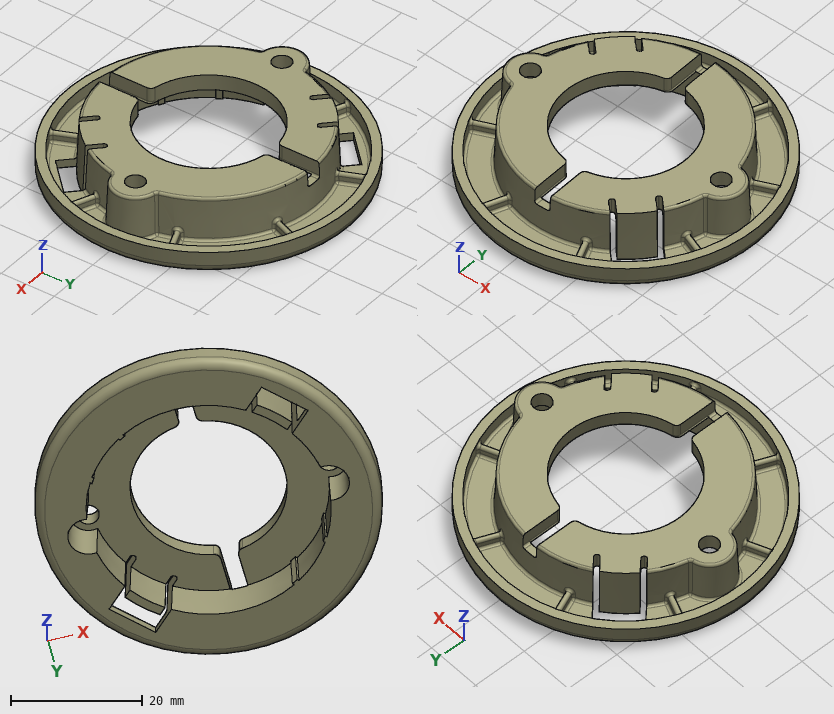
import cadquery as cq
import math

flange_radius = 26.5
total_height = 9.2
flange_height = 4.0
floor_thickness = 1.5
bottom_round = 1.5
draft = math.tan(math.radians(2.5))
channel_fillet = 0.5

rim_inner_radius = 24.85

hub_top_radius = 19.75
ear_top_radius = 4.2
ear_offset = 19.0
hub_wall = 1.5
plate_thickness = 2.8
hub_top_round = 0.5
ear_corner_fillet = 0.55
screw_hole_diameter = 3.35

bore_radius = 12.0
slot_width = 3.0
slot_depth = 2.9
slot_mouth_round = 0.95
slot_floor_round = 0.4

rib_count = 8
rib_width = 1.0
rib_height = 1.8

tab_angles = (135, 315)
window_width = 8.2
window_outer_edge = 23.0
slit_width = 1.0
slit_inner_end = 16.2
slit_end_round = 0.49 * slit_width

inner_rib_angles = (45, 225)
inner_rib_spacing = 8.9
inner_rib_width = 1.0
inner_rib_rise = 0.3

cavity_height = total_height - plate_thickness


def turned(body, angle):
    """Turn a body about the main axis."""
    return body.rotate((0, 0, 0), (0, 0, 1), angle)


def drafted_disc(top_radius, bottom_z, top_z, x=0.0):
    """Upright cone frustum that widens downward by the draft angle."""
    height = top_z - bottom_z
    bottom_radius = top_radius + height * draft
    return cq.Workplane(cq.Solid.makeCone(bottom_radius, top_radius, height, pnt=cq.Vector(x, 0, bottom_z)))


def hub_shape(inset, bottom_z, top_z):
    """Round hub with two ears, set in from the outer hub surface by the given amount."""
    growth = (total_height - top_z) * draft
    shape = drafted_disc(hub_top_radius - inset + growth, bottom_z, top_z)
    for x in (-ear_offset, ear_offset):
        shape = shape.union(drafted_disc(ear_top_radius - inset + growth, bottom_z, top_z, x))
    return shape


def make_flange():
    """Disc with a rounded bottom edge and a channel sunk inside its rim."""
    flange = cq.Workplane("XY").circle(flange_radius).extrude(flange_height)
    flange = flange.faces("<Z").edges().fillet(bottom_round)
    channel_depth = flange_height - floor_thickness
    channel = cq.Workplane(
        cq.Solid.makeCone(
            rim_inner_radius - channel_depth * draft,
            rim_inner_radius,
            channel_depth,
            pnt=cq.Vector(0, 0, floor_thickness),
        )
    )
    return flange.cut(channel)


def make_hub():
    """Solid hub with its ear corners and top edge rounded."""
    hub = hub_shape(0, 0, total_height)
    for near_y, far_y in ((0.55, flange_radius), (-flange_radius, -0.55)):
        corners = cq.selectors.BoxSelector(
            (-flange_radius, near_y, 0.55), (flange_radius, far_y, total_height - 0.55)
        )
        hub = hub.edges(corners).fillet(ear_corner_fillet)
    return hub.faces(">Z").edges().fillet(hub_top_round)


def make_rib(angle):
    """Round-topped rib that bridges the channel from the hub to the rim."""
    start = hub_top_radius - 0.5 * hub_wall
    length = 0.5 * (rim_inner_radius + flange_radius) - start
    foot = floor_thickness / 2
    shoulder = floor_thickness + rib_height - rib_width / 2
    rib = (
        cq.Workplane("YZ", origin=(start, 0, 0))
        .moveTo(-rib_width / 2, foot)
        .lineTo(-rib_width / 2, shoulder)
        .threePointArc((0, floor_thickness + rib_height), (rib_width / 2, shoulder))
        .lineTo(rib_width / 2, foot)
        .close()
        .extrude(length)
    )
    return turned(rib, angle)


def round_channel_edges(body):
    """Round every edge that lies inside the channel, below the rim's top face."""
    inside_channel = cq.selectors.BoxSelector(
        (-flange_radius, -flange_radius, floor_thickness - 0.05),
        (flange_radius, flange_radius, flange_height - 0.05),
        boundingbox=True,
    )
    return body.edges(inside_channel).fillet(channel_fillet)


def radial_block(inner_end, outer_end, width):
    """Full-height block along +X between two distances from the axis."""
    length = outer_end - inner_end
    return (
        cq.Workplane("XY", origin=((inner_end + outer_end) / 2, 0, 0))
        .box(length, width, total_height, centered=(True, True, False))
    )


def make_tab_window():
    """Opening around a tab: a window through wall and floor, with a slit along each side."""
    window = radial_block(hub_top_radius - hub_wall - 0.55, window_outer_edge, window_width)
    for side in (-1, 1):
        slit = radial_block(slit_inner_end, window_outer_edge, slit_width)
        slit = slit.edges("|Z and <X").fillet(slit_end_round)
        window = window.union(slit.translate((0, side * (window_width - slit_width) / 2, 0)))
    return window


def make_tab():
    """Piece of the hub between the slits, with a sharp top edge."""
    tab_width = window_width - 2 * slit_width
    tab = radial_block(slit_inner_end, window_outer_edge, tab_width)
    return tab.intersect(drafted_disc(hub_top_radius, 0, total_height))


def make_cavity():
    """Hollow below the top plate, with low ribs left standing on its wall."""
    cavity = hub_shape(hub_wall, 0, cavity_height)
    rib_crest = drafted_disc(hub_top_radius - hub_wall - inner_rib_rise, 0, total_height)
    for angle in inner_rib_angles:
        for side in (-1, 1):
            rib = radial_block(bore_radius, flange_radius, inner_rib_width)
            rib = rib.translate((0, side * inner_rib_spacing / 2, 0)).cut(rib_crest)
            cavity = cavity.cut(turned(rib, angle))
    return cavity


def make_slots():
    """Cutter for both slots, with rounded lower corners."""
    slot_floor = total_height - slot_depth
    return (
        cq.Workplane("XY", origin=(0, 0, slot_floor))
        .box(slot_width, 2 * (hub_top_radius + 0.55), slot_depth, centered=(True, True, False))
        .edges("|Y and <Z")
        .fillet(slot_floor_round)
    )


result = make_flange().union(make_hub())
for i in range(rib_count):
    result = result.union(make_rib((i + 0.5) * 360 / rib_count))
result = round_channel_edges(result)

for tab_angle in tab_angles:
    result = result.cut(turned(make_tab_window(), tab_angle))
    result = result.union(turned(make_tab(), tab_angle))

result = result.cut(make_cavity())
result = result.cut(cq.Workplane("XY").circle(bore_radius).extrude(total_height))
screw_holes = cq.Workplane("XY").pushPoints([(-ear_offset, 0), (ear_offset, 0)])
result = result.cut(screw_holes.circle(screw_hole_diameter / 2).extrude(total_height))

result = result.cut(make_slots())
mouth_corners = cq.selectors.BoxSelector(
    (-slot_width, -bore_radius, cavity_height - 0.55), (slot_width, bore_radius, total_height)
)
result = result.edges("|Z").edges(mouth_corners).fillet(slot_mouth_round)